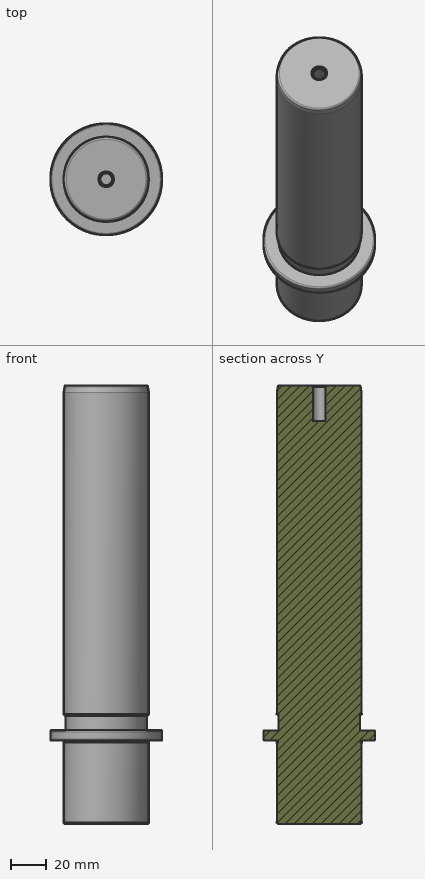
import cadquery as cq

total_length = 247.0
flange_bottom = 47.0
flange_thickness = 6.0
neck_length = 9.0

shaft_diameter = 48.0
neck_diameter = 46.0
flange_diameter = 63.0
relief_diameter = 47.0

bottom_chamfer = 1.0
relief_height = 1.0
flange_fillet = 1.0
lead_in_height = 4.0
lead_in_width = 0.7
top_edge_fillet = 1.0

hole_diameter = 6.8
hole_depth = 20.0
countersink_diameter = 8.6

shaft_radius = shaft_diameter / 2
neck_radius = neck_diameter / 2
flange_radius = flange_diameter / 2
relief_radius = relief_diameter / 2
flange_top = flange_bottom + flange_thickness
neck_top = flange_top + neck_length
shoulder_chamfer = shaft_radius - neck_radius
countersink_depth = (countersink_diameter - hole_diameter) / 2


def make_shaft():
    """Revolve the stepped shaft, with its neck and relief groove, about the Z axis."""
    profile = [
        (0, 0),
        (shaft_radius - bottom_chamfer, 0),
        (shaft_radius, bottom_chamfer),
        (shaft_radius, flange_bottom - relief_height),
        (relief_radius, flange_bottom - relief_height),
        (relief_radius, flange_bottom),
        (neck_radius, flange_bottom),
        (neck_radius, neck_top - shoulder_chamfer),
        (shaft_radius, neck_top),
        (shaft_radius, total_length - lead_in_height),
        (shaft_radius - lead_in_width, total_length),
        (0, total_length),
    ]
    shaft = cq.Workplane("XZ").polyline(profile).close().revolve(360, (0, 0, 0), (0, 1, 0))
    return shaft.faces(">Z").edges().fillet(top_edge_fillet)


def make_flange():
    """Disc collar with both rims rounded."""
    disc = cq.Workplane("XY").workplane(offset=flange_bottom).circle(flange_radius)
    return disc.extrude(flange_thickness).edges("%CIRCLE").fillet(flange_fillet)


def make_top_hole():
    """Cutter for the flat-bottomed hole and its 90 degree countersink."""
    profile = [
        (0, total_length),
        (countersink_diameter / 2, total_length),
        (hole_diameter / 2, total_length - countersink_depth),
        (hole_diameter / 2, total_length - hole_depth),
        (0, total_length - hole_depth),
    ]
    return cq.Workplane("XZ").polyline(profile).close().revolve(360, (0, 0, 0), (0, 1, 0))


result = make_shaft().union(make_flange()).cut(make_top_hole())